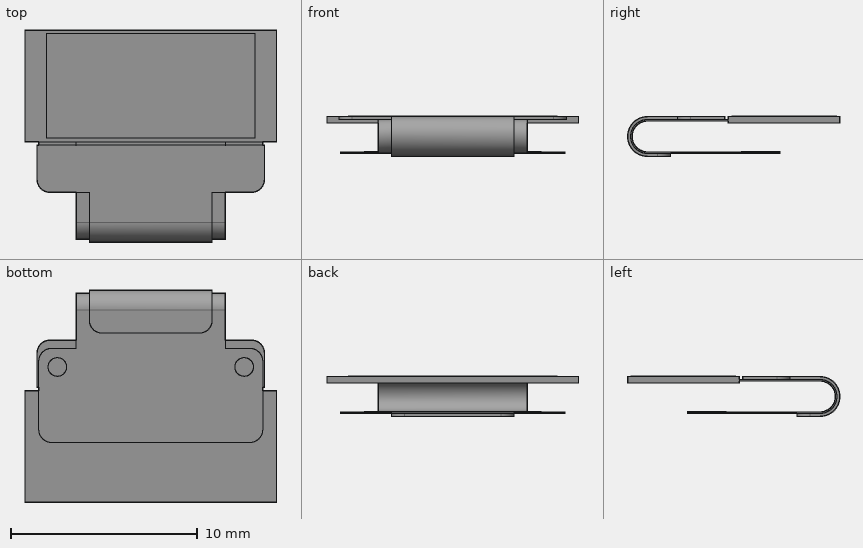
import cadquery as cq


panel_width = 13.5
panel_length = 6.0
panel_thickness = 0.35
panel_front = 4.32
panel_back = panel_front + panel_length
window_width = 11.16
window_length = 5.6
window_height = 0.03

film_thickness = 0.088
tape_thickness = 0.16
film_inner_radius = 0.82
film_outer_radius = film_inner_radius + film_thickness
tape_outer_radius = film_outer_radius + tape_thickness
bend_z = -tape_outer_radius
film_neck_width = 7.99
tape_neck_width = 6.59
corner_radius = 0.7

shoulder_width = 12.2
shoulder_front = 1.6
shoulder_back = 4.15
lower_tape_end = 1.24

tail_width = 12.02
tail_front = 2.05
tail_length = 5.05
tail_back = tail_front + tail_length
hole_diameter = 1.0
hole_inset = 1.0

pad_width = 9.45
pad_front = 5.05
pad_height = 0.007


def plate(width, front, back, bottom, thickness):
    """Flat plate centred on X, from front to back along Y, standing on bottom."""
    return (
        cq.Workplane("XY")
        .box(width, back - front, thickness, centered=(True, False, False))
        .translate((0, front, bottom))
    )


def folded_strip(width, inner_radius, thickness, upper_end, lower_end):
    """Strip with an upper and a lower leg joined by a half-round bend."""
    outer_radius = inner_radius + thickness
    profile = (
        cq.Workplane("YZ", origin=(-width / 2, 0, bend_z))
        .moveTo(upper_end, outer_radius)
        .lineTo(0, outer_radius)
        .threePointArc((-outer_radius, 0), (0, -outer_radius))
        .lineTo(lower_end, -outer_radius)
        .lineTo(lower_end, -inner_radius)
        .lineTo(0, -inner_radius)
        .threePointArc((-inner_radius, 0), (0, inner_radius))
        .lineTo(upper_end, inner_radius)
        .close()
    )
    return profile.extrude(width)


def make_panel():
    glass = plate(panel_width, panel_front, panel_back, -panel_thickness, panel_thickness)
    window_front = panel_front + (panel_length - window_length) / 2
    window = plate(window_width, window_front, window_front + window_length, 0, window_height)
    return glass.union(window)


def make_film():
    strip = folded_strip(
        film_neck_width,
        film_inner_radius,
        film_thickness,
        upper_end=panel_front,
        lower_end=tail_front,
    )
    tail_bottom = bend_z - film_outer_radius
    tail = plate(tail_width, tail_front, tail_back, tail_bottom, film_thickness)
    tail = tail.edges("|Z").fillet(corner_radius)
    hole_x = tail_width / 2 - hole_inset
    hole_y = tail_front + hole_inset
    holes = (
        cq.Workplane("XY", origin=(0, 0, tail_bottom))
        .pushPoints([(-hole_x, hole_y), (hole_x, hole_y)])
        .circle(hole_diameter / 2)
        .extrude(film_thickness)
    )
    pad = plate(pad_width, pad_front, tail_back, bend_z - film_inner_radius, pad_height)
    return strip.union(tail).cut(holes).union(pad)


def make_tape():
    strip = folded_strip(
        tape_neck_width,
        film_outer_radius,
        tape_thickness,
        upper_end=shoulder_front,
        lower_end=lower_tape_end,
    )
    strip = strip.faces(">Y[-2]").edges("|Z").fillet(corner_radius)
    shoulder = plate(shoulder_width, shoulder_front, shoulder_back, -tape_thickness, tape_thickness)
    shoulder = shoulder.edges("|Z and <Y").fillet(corner_radius)
    return strip.union(shoulder)


result = make_panel().union(make_film()).union(make_tape())